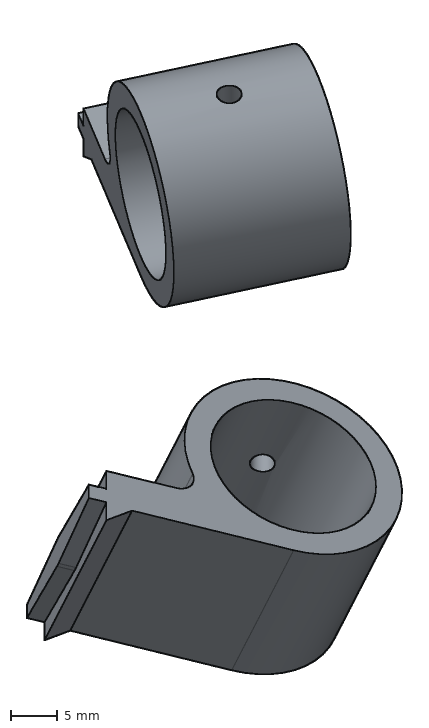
import cadquery as cq
import math

total_length = 36.0
width = 20.0
total_height = 27.4
ring_diameter = 25.0
bore_diameter = 19.0
pin_hole_diameter = 2.7
arm_thickness = 5.0
fillet_radius = 2.0
hook_length = 2.95
tongue_depth = 2.0
tongue_end_height = 2.0
tongue_middle_height = 4.0
tongue_flat_width = 0.5

ring_radius = ring_diameter / 2
tip_x = ring_radius - total_length
arm_face_x = tip_x + tongue_depth
arm_bottom_z = -ring_radius
arm_top_z = arm_bottom_z + arm_thickness
hook_bottom_z = ring_radius - total_height
tongue_center_z = (arm_top_z + hook_bottom_z) / 2


def make_ring():
    return cq.Workplane("XZ").circle(ring_radius).extrude(width / 2, both=True)


def make_arm():
    """Arm with a hook below its end and a fillet running tangent into the ring."""
    fillet_z = arm_top_z + fillet_radius
    center_distance = ring_radius + fillet_radius
    fillet_x = -math.sqrt(center_distance**2 - fillet_z**2)
    ring_tangent = (
        fillet_x * ring_radius / center_distance,
        fillet_z * ring_radius / center_distance,
    )
    ring_angle = math.atan2(-fillet_z, -fillet_x)
    middle_angle = (ring_angle - math.pi / 2) / 2
    arc_middle = (
        fillet_x + fillet_radius * math.cos(middle_angle),
        fillet_z + fillet_radius * math.sin(middle_angle),
    )
    return (
        cq.Workplane("XZ")
        .moveTo(arm_face_x, hook_bottom_z)
        .lineTo(arm_face_x, arm_top_z)
        .lineTo(fillet_x, arm_top_z)
        .threePointArc(arc_middle, ring_tangent)
        .lineTo(0, 0)
        .lineTo(0, arm_bottom_z)
        .lineTo(arm_face_x + hook_length, arm_bottom_z)
        .close()
        .extrude(width / 2, both=True)
    )


def make_tongue():
    """Tongue on the arm's end face, tallest at a narrow flat in the middle."""
    half_width = width / 2
    half_flat = tongue_flat_width / 2
    half_end = tongue_end_height / 2
    half_middle = tongue_middle_height / 2
    return (
        cq.Workplane("YZ", origin=(tip_x, 0, tongue_center_z))
        .polyline([
            (-half_width, -half_end),
            (-half_flat, -half_middle),
            (half_flat, -half_middle),
            (half_width, -half_end),
            (half_width, half_end),
            (half_flat, half_middle),
            (-half_flat, half_middle),
            (-half_width, half_end),
        ])
        .close()
        .extrude(tongue_depth)
    )


bore = cq.Workplane("XZ").circle(bore_diameter / 2).extrude(width / 2, both=True)
pin_hole = cq.Workplane("XY").circle(pin_hole_diameter / 2).extrude(ring_radius)

result = make_ring().union(make_arm()).union(make_tongue()).cut(bore).cut(pin_hole)